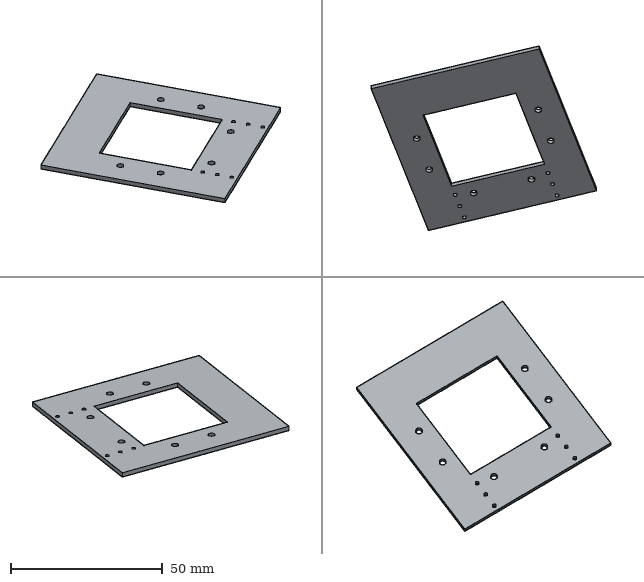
import cadquery as cq

plate_length = 64.0
plate_width = 58.0
plate_thickness = 1.6

window_side = 32.0

mount_diameter = 2.2
mount_offset = 21.0
mount_pair_spacing = 14.0
side_mount_spacing = 20.0

pin_diameter = 1.2
pin_count = 3
pin_pitch = 5.08
first_pin_x = 19.93
pin_row_y = window_side / 2


def mirrored_in_y(x, y):
    """Return a point and its mirror image across the X axis."""
    return [(x, y), (x, -y)]


def mount_points():
    points = mirrored_in_y(mount_offset, side_mount_spacing / 2)
    for x in (-mount_pair_spacing / 2, mount_pair_spacing / 2):
        points += mirrored_in_y(x, mount_offset)
    return points


def pin_points():
    points = []
    for index in range(pin_count):
        points += mirrored_in_y(first_pin_x + index * pin_pitch, pin_row_y)
    return points


def through_holes(points, diameter):
    """Return cylinders spanning the plate thickness, one at each point."""
    return cq.Workplane("XY").pushPoints(points).circle(diameter / 2).extrude(plate_thickness)


plate = cq.Workplane("XY").rect(plate_length, plate_width).extrude(plate_thickness)
window = cq.Workplane("XY").rect(window_side, window_side).extrude(plate_thickness)

result = (
    plate.cut(window)
    .cut(through_holes(mount_points(), mount_diameter))
    .cut(through_holes(pin_points(), pin_diameter))
)